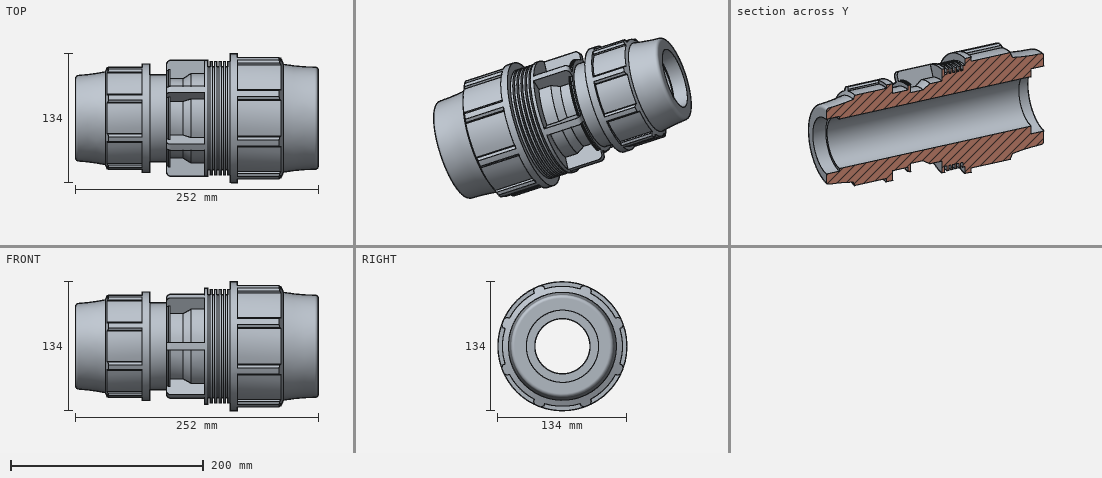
import cadquery as cq
import math


X_AXIS = ((0, 0, 0), (1, 0, 0))
TOTAL_LENGTH = 252.0

SMALL_PIPE_RADIUS = 63.0 / 2
LARGE_PIPE_RADIUS = 75.0 / 2
THROUGH_BORE_RADIUS = 57.0 / 2
PIPE_ENTRY_DEPTH = 15.0

NUT_RIB_COUNT = 8
NUT_RIB_FIRST_ANGLE = 360 / NUT_RIB_COUNT / 2

SMALL_CAP_END_RADIUS = 44.6
SMALL_CAP_MIDDLE = (16.0, 45.8)
SMALL_CAP_BASE_RADIUS = 48.3
SMALL_CAP_ROUND = 3.6
SMALL_GRIP_START_X = 31.0
SMALL_GRIP_START_RADIUS = 48.3
SMALL_GRIP_CONE_LENGTH = 3.5
SMALL_GRIP_CORE_RADIUS = 52.7
SMALL_FLANGE_RADIUS = 113.0 / 2
SMALL_FLANGE_START_X = 69.2
SMALL_FLANGE_END_X = 77.1
SMALL_RIB_TOP_WIDTH = 5.2
SMALL_RIB_BASE_WIDTH = 9.2
SMALL_RIB_STEP_RADIUS = 54.1

LARGE_CAP_END_RADIUS = 53.1
LARGE_CAP_MIDDLE = (232.0, 53.9)
LARGE_CAP_BASE_RADIUS = 56.05
LARGE_CAP_ROUND = 3.6
LARGE_GRIP_END_X = 215.8
LARGE_GRIP_END_RADIUS = 56.05
LARGE_GRIP_CONE_LENGTH = 4.8
LARGE_GRIP_CORE_RADIUS = 62.3
LARGE_FLANGE_RADIUS = 134.0 / 2
LARGE_FLANGE_START_X = 160.4
LARGE_FLANGE_END_X = 168.0
LARGE_RIB_TOP_WIDTH = 6.4
LARGE_RIB_BASE_WIDTH = 11.6
LARGE_RIB_STEP_RADIUS = 64.5

NECK_RADIUS = 90.4 / 2
DISC_START_X = 94.3
DISC_END_X = 97.9
DISC_RADIUS = 50.7
DISC_STEP = 0.8
DISC_STEP_X = 95.9
HUB_SMALL_RADIUS = 41.4
HUB_LARGE_RADIUS = 46.7
HUB_CONE_START_X = 111.7
HUB_CONE_END_X = 120.0
COLLAR_RADIUS = 120.6 / 2
COLLAR_START_X = 133.6
COLLAR_END_X = 137.4

WEB_COUNT = 6
WEB_THICKNESS = 7.4
WEB_CORNER_RADIUS = 5.0

THREAD_ROOT_RADIUS = 107.2 / 2
THREAD_CREST_RADIUS = 118.19 / 2
THREAD_RING_COUNT = 5
THREAD_RING_WIDTH = 2.5
THREAD_PITCH = 4.57
THREAD_FIRST_RING_X = 139.6


def cylinder(start_x, end_x, radius):
    """Solid cylinder along the X axis."""
    return cq.Workplane("YZ").workplane(offset=start_x).circle(radius).extrude(end_x - start_x)


def cone(start_x, start_radius, end_x, end_radius):
    """Solid truncated cone along the X axis."""
    profile = [(start_x, 0), (start_x, start_radius), (end_x, end_radius), (end_x, 0)]
    return cq.Workplane("XY").polyline(profile).close().revolve(360, *X_AXIS)


def cap(end_x, end_radius, middle, base_x, base_radius, round_radius):
    """Nut cap with a slightly hollow flank and a rounded rim at its free end."""
    inward = math.copysign(1, base_x - end_x)
    round_end_x = end_x + inward * round_radius
    round_middle = (
        round_end_x - inward * round_radius * math.sqrt(0.5),
        end_radius - round_radius * (1 - math.sqrt(0.5)),
    )
    return (
        cq.Workplane("XY")
        .moveTo(end_x, 0)
        .lineTo(end_x, end_radius - round_radius)
        .threePointArc(round_middle, (round_end_x, end_radius))
        .threePointArc(middle, (base_x, base_radius))
        .lineTo(base_x, 0)
        .close()
        .revolve(360, *X_AXIS)
    )


def around_axis(feature, count, first_angle):
    """Union of evenly spaced copies of a feature about the X axis."""
    copies = feature.rotate(*X_AXIS, first_angle)
    for index in range(1, count):
        copies = copies.union(feature.rotate(*X_AXIS, first_angle + index * 360 / count))
    return copies


def grip_ribs(start_x, end_x, top_width, base_width, step_radius, top_radius, core_radius):
    """Grip ribs that are straight at the foot and taper to a rounded top."""
    half_top = top_width / 2
    half_base = base_width / 2
    corner_radius = math.sqrt(top_radius**2 - half_top**2)
    root_radius = core_radius - half_base
    rib = (
        cq.Workplane("YZ")
        .workplane(offset=start_x)
        .moveTo(root_radius, -half_base)
        .lineTo(step_radius, -half_base)
        .lineTo(corner_radius, -half_top)
        .threePointArc((top_radius, 0), (corner_radius, half_top))
        .lineTo(step_radius, half_base)
        .lineTo(root_radius, half_base)
        .close()
        .extrude(end_x - start_x)
    )
    return around_axis(rib, NUT_RIB_COUNT, NUT_RIB_FIRST_ANGLE)


def small_nut():
    """Nut whose grip cone and cap face the X = 0 end."""
    cone_end_x = SMALL_GRIP_START_X + SMALL_GRIP_CONE_LENGTH
    envelope = cone(
        SMALL_GRIP_START_X, SMALL_GRIP_START_RADIUS, cone_end_x, SMALL_FLANGE_RADIUS
    ).union(cylinder(cone_end_x, SMALL_FLANGE_END_X, SMALL_FLANGE_RADIUS))
    ribs = grip_ribs(
        SMALL_GRIP_START_X,
        SMALL_FLANGE_START_X,
        SMALL_RIB_TOP_WIDTH,
        SMALL_RIB_BASE_WIDTH,
        SMALL_RIB_STEP_RADIUS,
        SMALL_FLANGE_RADIUS,
        SMALL_GRIP_CORE_RADIUS,
    )
    core = cylinder(SMALL_GRIP_START_X, SMALL_FLANGE_END_X, SMALL_GRIP_CORE_RADIUS)
    grip = core.union(ribs).intersect(envelope)
    flange = cylinder(SMALL_FLANGE_START_X, SMALL_FLANGE_END_X, SMALL_FLANGE_RADIUS)
    end_cap = cap(
        0,
        SMALL_CAP_END_RADIUS,
        SMALL_CAP_MIDDLE,
        SMALL_GRIP_START_X,
        SMALL_CAP_BASE_RADIUS,
        SMALL_CAP_ROUND,
    )
    return end_cap.union(grip).union(flange)


def large_nut():
    """Nut whose grip cone and cap face the far end."""
    cone_start_x = LARGE_GRIP_END_X - LARGE_GRIP_CONE_LENGTH
    envelope = cone(
        cone_start_x, LARGE_FLANGE_RADIUS, LARGE_GRIP_END_X, LARGE_GRIP_END_RADIUS
    ).union(cylinder(LARGE_FLANGE_START_X, cone_start_x, LARGE_FLANGE_RADIUS))
    ribs = grip_ribs(
        LARGE_FLANGE_END_X,
        LARGE_GRIP_END_X,
        LARGE_RIB_TOP_WIDTH,
        LARGE_RIB_BASE_WIDTH,
        LARGE_RIB_STEP_RADIUS,
        LARGE_FLANGE_RADIUS,
        LARGE_GRIP_CORE_RADIUS,
    )
    core = cylinder(LARGE_FLANGE_START_X, LARGE_GRIP_END_X, LARGE_GRIP_CORE_RADIUS)
    grip = core.union(ribs).intersect(envelope)
    flange = cylinder(LARGE_FLANGE_START_X, LARGE_FLANGE_END_X, LARGE_FLANGE_RADIUS)
    end_cap = cap(
        TOTAL_LENGTH,
        LARGE_CAP_END_RADIUS,
        LARGE_CAP_MIDDLE,
        LARGE_GRIP_END_X,
        LARGE_CAP_BASE_RADIUS,
        LARGE_CAP_ROUND,
    )
    return end_cap.union(grip).union(flange)


def reducer_body():
    """Turned body from the neck behind the small nut to the collar ahead of the thread."""
    disc_small_radius = DISC_RADIUS - DISC_STEP
    profile = [
        (SMALL_FLANGE_END_X, 0),
        (SMALL_FLANGE_END_X, NECK_RADIUS),
        (DISC_START_X, NECK_RADIUS),
        (DISC_START_X, disc_small_radius),
        (DISC_STEP_X, disc_small_radius),
        (DISC_STEP_X + DISC_STEP, DISC_RADIUS),
        (DISC_END_X, DISC_RADIUS),
        (DISC_END_X, HUB_SMALL_RADIUS),
        (HUB_CONE_START_X, HUB_SMALL_RADIUS),
        (HUB_CONE_END_X, HUB_LARGE_RADIUS),
        (COLLAR_START_X, HUB_LARGE_RADIUS),
        (COLLAR_START_X, COLLAR_RADIUS),
        (COLLAR_END_X, COLLAR_RADIUS),
        (COLLAR_END_X, 0),
    ]
    return cq.Workplane("XY").polyline(profile).close().revolve(360, *X_AXIS)


def webs():
    """Radial webs between disc and collar, flush with the collar and rounded at the free corner."""
    web = (
        cq.Workplane("XY")
        .moveTo(DISC_START_X, 0)
        .lineTo(DISC_START_X, COLLAR_RADIUS - WEB_CORNER_RADIUS)
        .radiusArc((DISC_START_X + WEB_CORNER_RADIUS, COLLAR_RADIUS), WEB_CORNER_RADIUS)
        .lineTo(COLLAR_END_X, COLLAR_RADIUS)
        .lineTo(COLLAR_END_X, 0)
        .close()
        .extrude(WEB_THICKNESS / 2, both=True)
    )
    limit = cylinder(DISC_START_X, COLLAR_END_X, COLLAR_RADIUS)
    return around_axis(web, WEB_COUNT, 0).intersect(limit)


def thread():
    """Thread root with parallel crest rings."""
    body = cylinder(COLLAR_END_X, LARGE_FLANGE_START_X, THREAD_ROOT_RADIUS)
    for index in range(THREAD_RING_COUNT):
        ring_x = THREAD_FIRST_RING_X + index * THREAD_PITCH
        body = body.union(cylinder(ring_x, ring_x + THREAD_RING_WIDTH, THREAD_CREST_RADIUS))
    return body


def bores():
    """Stepped passage: a pipe entry at each end and a narrower bore between them."""
    small_entry = cylinder(0, PIPE_ENTRY_DEPTH, SMALL_PIPE_RADIUS)
    large_entry = cylinder(TOTAL_LENGTH - PIPE_ENTRY_DEPTH, TOTAL_LENGTH, LARGE_PIPE_RADIUS)
    return cylinder(0, TOTAL_LENGTH, THROUGH_BORE_RADIUS).union(small_entry).union(large_entry)


coupling = small_nut().union(reducer_body()).union(webs()).union(thread()).union(large_nut())
result = coupling.cut(bores())